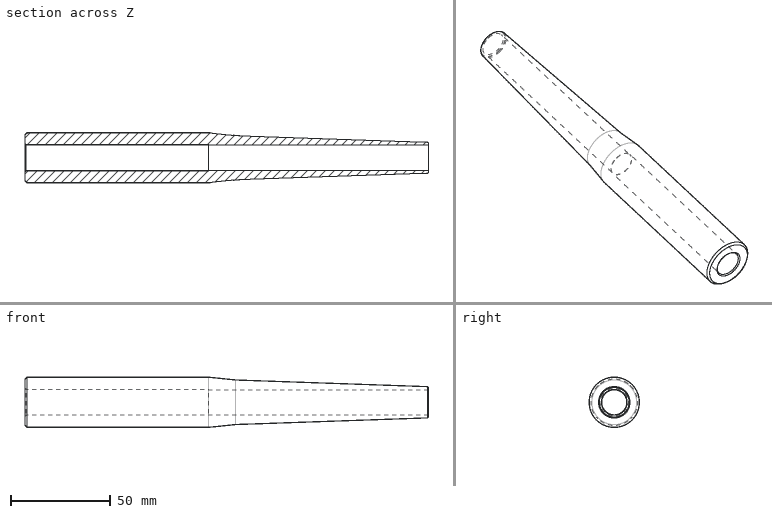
import cadquery as cq

total_length = 203.2
shank_length = 92.5
neck_end = 106.0

shank_diameter = 25.5
neck_diameter = 22.5
tip_diameter = 15.8

bore_diameter = 12.5
wide_bore_diameter = 13.0
entry_diameter = 14.2
entry_depth = (entry_diameter - wide_bore_diameter) / 2
wide_bore_depth = shank_length

shank_chamfer = 1.0
tip_chamfer = 0.5

start_x = -total_length / 2
end_x = start_x + total_length


def make_body():
    """Cylindrical shank, short neck cone and long slender cone, revolved about X."""
    shank_radius = shank_diameter / 2
    tip_radius = tip_diameter / 2
    outline = [
        (start_x, 0),
        (start_x, shank_radius - shank_chamfer),
        (start_x + shank_chamfer, shank_radius),
        (start_x + shank_length, shank_radius),
        (start_x + neck_end, neck_diameter / 2),
        (end_x - tip_chamfer, tip_radius),
        (end_x, tip_radius - tip_chamfer),
        (end_x, 0),
    ]
    return cq.Workplane("XZ").polyline(outline).close().revolve(360, (0, 0, 0), (1, 0, 0))


def make_bore():
    """Stepped through bore with a 45 degree countersink at the thick end."""
    wide_radius = wide_bore_diameter / 2
    bore_radius = bore_diameter / 2
    outline = [
        (start_x, 0),
        (start_x, entry_diameter / 2),
        (start_x + entry_depth, wide_radius),
        (start_x + wide_bore_depth, wide_radius),
        (start_x + wide_bore_depth, bore_radius),
        (end_x, bore_radius),
        (end_x, 0),
    ]
    return cq.Workplane("XZ").polyline(outline).close().revolve(360, (0, 0, 0), (1, 0, 0))


result = make_body().cut(make_bore())